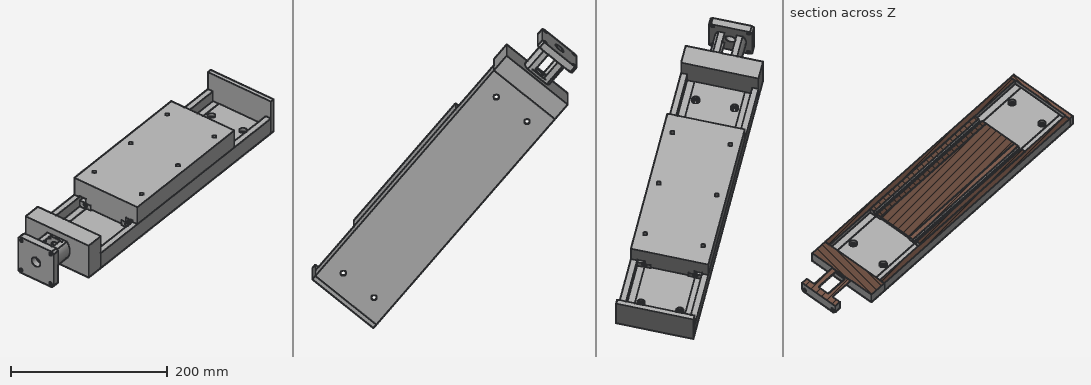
import cadquery as cq
OVERALL_LENGTH = 432
SLIDE_WIDTH = 101.5
SLIDE_HEIGHT = 51.5

FLANGE_SIZE = 57.0
FLANGE_THICKNESS = 9.5
FLANGE_CHAMFER = 3.0
SHAFT_HOLE_DIAMETER = 14.0
MOTOR_HOLE_SPACING = 47.0
MOTOR_HOLE_DIAMETER = 4.5
NECK_LENGTH = 35.0
NECK_DIAMETER = 41.0
NECK_HEIGHT = 26.5
NECK_BORE_DIAMETER = 30.5
NECK_END_WALL = 3.5
NECK_SCREW_SPACING = 20.0
NECK_SCREW_DIAMETER = 4.5
MOTOR_AXIS_HEIGHT = FLANGE_SIZE / 2

DRIVE_BLOCK_THICKNESS = 25.5
END_PLATE_THICKNESS = 6.0

BASE_LENGTH = OVERALL_LENGTH - FLANGE_THICKNESS - NECK_LENGTH - DRIVE_BLOCK_THICKNESS - END_PLATE_THICKNESS
BASE_HEIGHT = 24.0
BASE_WALL = 8.0
FLOOR_HEIGHT = 9.0
SEAT_WIDTH = 9.5
SEAT_DEPTH = 0.5
BASE_HOLE_SPACING_X = 51.0
BASE_HOLE_SPACING_Y = 305.0
BASE_HOLE_DIAMETER = 7.0
COUNTERBORE_DIAMETER = 10.0
COUNTERBORE_DEPTH = 5.0

CARRIAGE_LENGTH = 203.0
CARRIAGE_RECESS_HEIGHT = 26.0
RAIL_SEAT_HEIGHT = 18.5
KEEL_BOTTOM = 13.0
KEEL_WIDTH = 49.3
CARRIAGE_HOLE_SPACING = 76.0
CARRIAGE_HOLE_DIAMETER = 5.0
CARRIAGE_HOLE_DEPTH = 13.0

MOVING_RAIL_WIDTH = 7.8
MOVING_RAIL_BOTTOM = 11.0
FIXED_RAIL_WIDTH = 7.8
FIXED_RAIL_TOP = 18.0
FIXED_RAIL_LENGTH = 201.5
GROOVE_DEPTH = 2.0
GROOVE_HEIGHT = 14.5

BLOCK_START = FLANGE_THICKNESS + NECK_LENGTH
BASE_START = BLOCK_START + DRIVE_BLOCK_THICKNESS
BASE_END = BASE_START + BASE_LENGTH
SLIDE_MIDDLE = BASE_START + BASE_LENGTH / 2
CHANNEL_HALF_WIDTH = SLIDE_WIDTH / 2 - BASE_WALL
SEAT_HEIGHT = FLOOR_HEIGHT - SEAT_DEPTH


def block(width, start, length, bottom, top, center_x=0):
    """Box given by its width, its start and length along Y, and its two heights."""
    return (
        cq.Workplane("XY")
        .box(width, length, top - bottom, centered=(True, False, False))
        .translate((center_x, start, bottom))
    )


def middle_block(width, length, bottom, top, center_x=0):
    """Box centred lengthwise on the slide."""
    return block(width, SLIDE_MIDDLE - length / 2, length, bottom, top, center_x)


def cylinder_y(diameter, start, length, offset_x=0, offset_z=0):
    """Cylinder along Y, on the motor axis or offset from it."""
    axis_start = cq.Vector(offset_x, start, MOTOR_AXIS_HEIGHT + offset_z)
    return cq.Workplane(cq.Solid.makeCylinder(diameter / 2, length, axis_start, cq.Vector(0, 1, 0)))


def make_motor_mount():
    """Square flange with four bolt holes; the neck flats cut into the bore and open it above and below."""
    flange = (
        block(FLANGE_SIZE, 0, FLANGE_THICKNESS, 0, FLANGE_SIZE)
        .edges("|Y")
        .chamfer(FLANGE_CHAMFER)
        .faces("<Y")
        .workplane(centerOption="CenterOfBoundBox")
        .rect(MOTOR_HOLE_SPACING, MOTOR_HOLE_SPACING, forConstruction=True)
        .vertices()
        .hole(MOTOR_HOLE_DIAMETER)
    )
    neck_bottom = MOTOR_AXIS_HEIGHT - NECK_HEIGHT / 2
    flats = block(NECK_DIAMETER, FLANGE_THICKNESS, NECK_LENGTH, neck_bottom, neck_bottom + NECK_HEIGHT)
    neck = cylinder_y(NECK_DIAMETER, FLANGE_THICKNESS, NECK_LENGTH).intersect(flats)
    neck_bore = cylinder_y(NECK_BORE_DIAMETER, FLANGE_THICKNESS, NECK_LENGTH - NECK_END_WALL)
    shaft_hole = cylinder_y(SHAFT_HOLE_DIAMETER, 0, BLOCK_START)
    mount = flange.union(neck.cut(neck_bore)).cut(shaft_hole)
    for side_x in (-1, 1):
        for side_z in (-1, 1):
            mount = mount.cut(
                cylinder_y(
                    NECK_SCREW_DIAMETER,
                    BLOCK_START - NECK_END_WALL,
                    NECK_END_WALL,
                    side_x * NECK_SCREW_SPACING / 2,
                    side_z * NECK_SCREW_SPACING / 2,
                )
            )
    return mount


def make_base():
    """Channel with shallow rail seats along both walls and four counterbored mounting holes."""
    base = middle_block(SLIDE_WIDTH, BASE_LENGTH, 0, BASE_HEIGHT)
    base = base.cut(middle_block(2 * CHANNEL_HALF_WIDTH, BASE_LENGTH, FLOOR_HEIGHT, BASE_HEIGHT))
    for side in (-1, 1):
        seat_x = side * (CHANNEL_HALF_WIDTH - SEAT_WIDTH / 2)
        base = base.cut(middle_block(SEAT_WIDTH, BASE_LENGTH, SEAT_HEIGHT, FLOOR_HEIGHT, seat_x))
    return (
        base.copyWorkplane(cq.Workplane("XY", origin=(0, SLIDE_MIDDLE, FLOOR_HEIGHT)))
        .rect(BASE_HOLE_SPACING_X, BASE_HOLE_SPACING_Y, forConstruction=True)
        .vertices()
        .cboreHole(BASE_HOLE_DIAMETER, COUNTERBORE_DIAMETER, COUNTERBORE_DEPTH)
    )


def make_carriage():
    """Table resting on the base walls, with a keel between the moving rails and six blind holes."""
    carriage = middle_block(SLIDE_WIDTH, CARRIAGE_LENGTH, BASE_HEIGHT, SLIDE_HEIGHT)
    recess = middle_block(2 * CHANNEL_HALF_WIDTH, CARRIAGE_LENGTH, BASE_HEIGHT, CARRIAGE_RECESS_HEIGHT)
    rail_seat = middle_block(
        KEEL_WIDTH + 2 * MOVING_RAIL_WIDTH, CARRIAGE_LENGTH, RAIL_SEAT_HEIGHT, CARRIAGE_RECESS_HEIGHT
    )
    keel = middle_block(KEEL_WIDTH, CARRIAGE_LENGTH, KEEL_BOTTOM, RAIL_SEAT_HEIGHT)
    return (
        carriage.cut(recess)
        .union(rail_seat)
        .union(keel)
        .copyWorkplane(cq.Workplane("XY", origin=(0, SLIDE_MIDDLE, SLIDE_HEIGHT)))
        .rarray(CARRIAGE_HOLE_SPACING, CARRIAGE_HOLE_SPACING, 2, 3)
        .hole(CARRIAGE_HOLE_DIAMETER, CARRIAGE_HOLE_DEPTH)
    )


def cut_groove(rail, face_x, inward):
    """Cut a 90 degree V along the rail face at face_x; inward is the sign of the cutting direction."""
    groove = (
        cq.Workplane("XZ", origin=(face_x, BASE_END, GROOVE_HEIGHT))
        .moveTo(0, GROOVE_DEPTH)
        .lineTo(inward * GROOVE_DEPTH, 0)
        .lineTo(0, -GROOVE_DEPTH)
        .close()
        .extrude(BASE_LENGTH)
    )
    return rail.cut(groove)


def make_moving_rail(side):
    center_x = side * (KEEL_WIDTH + MOVING_RAIL_WIDTH) / 2
    rail = middle_block(MOVING_RAIL_WIDTH, CARRIAGE_LENGTH, MOVING_RAIL_BOTTOM, RAIL_SEAT_HEIGHT, center_x)
    return cut_groove(rail, side * (KEEL_WIDTH / 2 + MOVING_RAIL_WIDTH), -side)


def make_fixed_rail(side):
    center_x = side * (CHANNEL_HALF_WIDTH - FIXED_RAIL_WIDTH / 2)
    rail = middle_block(FIXED_RAIL_WIDTH, FIXED_RAIL_LENGTH, SEAT_HEIGHT, FIXED_RAIL_TOP, center_x)
    return cut_groove(rail, side * (CHANNEL_HALF_WIDTH - FIXED_RAIL_WIDTH), side)


motor_mount = make_motor_mount()
drive_block = block(SLIDE_WIDTH, BLOCK_START, DRIVE_BLOCK_THICKNESS, 0, SLIDE_HEIGHT)
base = make_base()
end_plate = block(SLIDE_WIDTH, BASE_END, END_PLATE_THICKNESS, 0, SLIDE_HEIGHT)
carriage = make_carriage()
moving_rails = [make_moving_rail(side) for side in (-1, 1)]
fixed_rails = [make_fixed_rail(side) for side in (-1, 1)]

result = cq.Compound.makeCompound(
    [
        motor_mount.val(),
        drive_block.val(),
        base.val(),
        end_plate.val(),
        carriage.val(),
        *[rail.val() for rail in moving_rails],
        *[rail.val() for rail in fixed_rails],
    ]
)